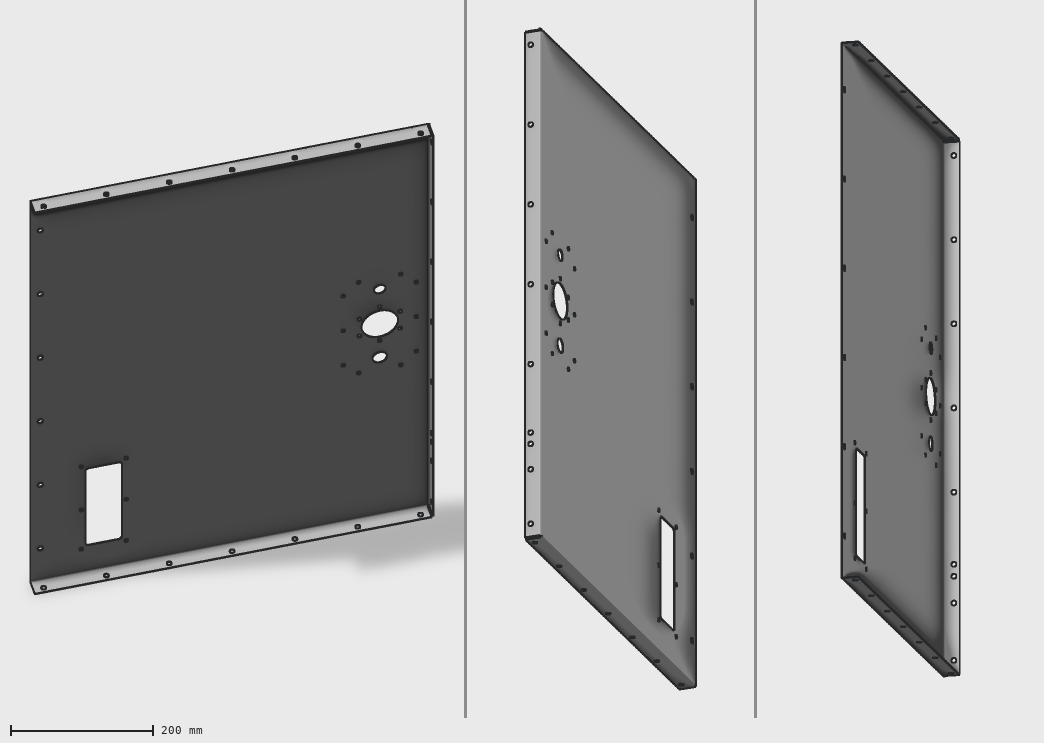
import cadquery as cq

depth = 25.0
width = 578.9
height = 775.0
front_x = -depth / 2
folded_edge_y = width / 2

thickness = 1.5
bend_inner_radius = 1.5
bend_outer_radius = bend_inner_radius + thickness
relief_size = bend_outer_radius

cut_margin = 1.0

flange_hole_diameter = 7.0
flange_hole_x = 4.0
side_hole_count = 7
side_hole_span = 730.0
side_extra_hole_heights = (-226.0, -282.0)
end_hole_count = 7
end_hole_span = 547.0
end_hole_centre_y = -1.0

edge_hole_diameter = 8.0
edge_hole_y = -275.0
edge_hole_count = 6
edge_hole_span = 645.0

lock_y = 217.5
lock_z = 0.0
lock_hole_diameter = 53.0
upper_hole_diameter = 17.0
upper_hole_offset = 70.0
lower_hole_diameter = 21.0
lower_hole_offset = -68.0
ring_diameter = 68.0
ring_hole_count = 6
ring_hole_diameter = 6.0
ring_start_angle = 90.0
lock_screw_diameter = 5.5
lock_side_screw_y = 53.0
lock_side_screw_z = 70.0
lock_end_screw_y = 30.5
lock_end_screw_z = 92.0

window_y = -183.0
window_z = -256.5
window_width = 53.0
window_height = 156.0
window_corner_radius = 5.0
window_screw_diameter = 5.5
window_screw_y = 32.5
window_screw_z = 83.5
outer_middle_screw_drop = 4.0


def spaced(span, count):
    """Evenly spaced positions, centred on zero."""
    pitch = span / (count - 1)
    return [index * pitch - span / 2 for index in range(count)]


def centred_block(size_z):
    """Solid block of the panel's depth and width, not yet rounded."""
    return cq.Workplane("XY").box(depth, width, size_z)


def folded_sheet():
    """Web with flanges along the top, the bottom and the +Y side, open at the back and at -Y."""
    bend_edges = "(<X and |Y) or (<X and >Y)"
    outside = centred_block(height).edges(bend_edges).fillet(bend_outer_radius)
    inside = (
        centred_block(height - 2 * thickness)
        .translate((thickness, -thickness, 0))
        .edges(bend_edges)
        .fillet(bend_inner_radius)
    )
    return outside.cut(inside)


def corner_relief(side):
    """Notch parting the side flange from an end flange; side is +1 at the top and -1 at the bottom."""
    return (
        cq.Workplane("XY")
        .box(depth, relief_size, relief_size)
        .translate(
            (
                bend_outer_radius,
                folded_edge_y - relief_size / 2,
                side * (height - relief_size) / 2,
            )
        )
    )


def side_flange_holes():
    """Cutters for the screw holes in the +Y flange."""
    heights = spaced(side_hole_span, side_hole_count) + list(side_extra_hole_heights)
    return (
        cq.Workplane("XZ", origin=(flange_hole_x, folded_edge_y + cut_margin, 0))
        .pushPoints([(0, z) for z in heights])
        .circle(flange_hole_diameter / 2)
        .extrude(thickness + 2 * cut_margin)
    )


def end_flange_holes():
    """Cutters for the matching screw holes in the top and bottom flanges."""
    return (
        cq.Workplane("XY", origin=(flange_hole_x, end_hole_centre_y, -height / 2 - cut_margin))
        .pushPoints([(0, y) for y in spaced(end_hole_span, end_hole_count)])
        .circle(flange_hole_diameter / 2)
        .extrude(height + 2 * cut_margin)
    )


def web_plane(y, z):
    """Work plane just in front of the web, with its origin at the given point."""
    return cq.Workplane("YZ", origin=(front_x - cut_margin, y, z))


def through_web(sketch):
    """Cutter that carries a sketch on a web plane through the web."""
    return sketch.extrude(thickness + 2 * cut_margin)


def edge_holes():
    """Cutters for the row of screw holes along the free edge."""
    points = [(0, z) for z in spaced(edge_hole_span, edge_hole_count)]
    return through_web(web_plane(edge_hole_y, 0).pushPoints(points).circle(edge_hole_diameter / 2))


def lock_cutouts():
    """Cutters for the large lock hole and the holes above, below and around it."""
    screws = [(side * lock_side_screw_y, 0) for side in (-1, 1)]
    for side in (-1, 1):
        for end in (-1, 1):
            screws.append((side * lock_side_screw_y, end * lock_side_screw_z))
            screws.append((side * lock_end_screw_y, end * lock_end_screw_z))
    large_hole = web_plane(lock_y, lock_z).circle(lock_hole_diameter / 2)
    upper_hole = web_plane(lock_y, lock_z + upper_hole_offset).circle(upper_hole_diameter / 2)
    lower_hole = web_plane(lock_y, lock_z + lower_hole_offset).circle(lower_hole_diameter / 2)
    ring_holes = (
        web_plane(lock_y, lock_z)
        .polarArray(ring_diameter / 2, ring_start_angle, 360, ring_hole_count)
        .circle(ring_hole_diameter / 2)
    )
    screw_holes = web_plane(lock_y, lock_z).pushPoints(screws).circle(lock_screw_diameter / 2)
    sketches = (large_hole, upper_hole, lower_hole, ring_holes, screw_holes)
    return [through_web(sketch) for sketch in sketches]


def window_cutouts():
    """Cutters for the rounded window and its six screw holes."""
    opening = through_web(web_plane(window_y, window_z).rect(window_width, window_height))
    opening = opening.edges("|X").fillet(window_corner_radius)
    screws = [(window_screw_y, 0), (-window_screw_y, -outer_middle_screw_drop)]
    for side in (-1, 1):
        for end in (-1, 1):
            screws.append((side * window_screw_y, end * window_screw_z))
    holes = through_web(
        web_plane(window_y, window_z).pushPoints(screws).circle(window_screw_diameter / 2)
    )
    return [opening, holes]


def build_panel():
    """Folded sheet with every relief, hole and window cut out of it."""
    panel = folded_sheet()
    cutters = [corner_relief(side) for side in (-1, 1)]
    cutters += [side_flange_holes(), end_flange_holes(), edge_holes()]
    cutters += lock_cutouts()
    cutters += window_cutouts()
    for cutter in cutters:
        panel = panel.cut(cutter)
    return panel


result = build_panel()